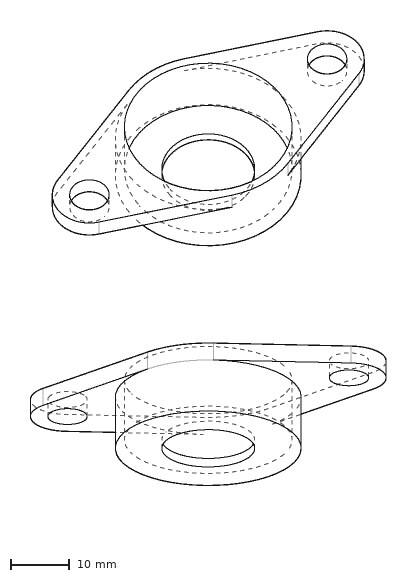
import cadquery as cq
import math

length = 63.5
height = 12.7
flange_thickness = 3.2

cup_radius = 15.9
bore_diameter = 28.65
floor_thickness = 1.6
floor_hole_diameter = 15.9

end_radius = 6.35
mount_hole_diameter = 6.7
mount_offset = length / 2 - end_radius

tangent_angle = math.asin((cup_radius - end_radius) / mount_offset)
cup_tangent_x = cup_radius * math.cos(tangent_angle)
cup_tangent_y = cup_radius * math.sin(tangent_angle)
end_tangent_x = end_radius * math.cos(tangent_angle)
end_tangent_y = mount_offset + end_radius * math.sin(tangent_angle)


def make_flange():
    """Diamond-shaped plate flush with the top of the cup."""
    return (
        cq.Workplane("XY")
        .workplane(offset=height - flange_thickness)
        .moveTo(cup_tangent_x, -cup_tangent_y)
        .threePointArc((cup_radius, 0), (cup_tangent_x, cup_tangent_y))
        .lineTo(end_tangent_x, end_tangent_y)
        .threePointArc((0, length / 2), (-end_tangent_x, end_tangent_y))
        .lineTo(-cup_tangent_x, cup_tangent_y)
        .threePointArc((-cup_radius, 0), (-cup_tangent_x, -cup_tangent_y))
        .lineTo(-end_tangent_x, -end_tangent_y)
        .threePointArc((0, -length / 2), (end_tangent_x, -end_tangent_y))
        .close()
        .extrude(flange_thickness)
    )


def make_cylinder(diameter, bottom, top, y=0):
    """Vertical cylinder centred at x = 0."""
    return (
        cq.Workplane("XY")
        .workplane(offset=bottom)
        .center(0, y)
        .circle(diameter / 2)
        .extrude(top - bottom)
    )


body = make_flange().union(make_cylinder(2 * cup_radius, 0, height))

body = body.cut(make_cylinder(bore_diameter, floor_thickness, height))
body = body.cut(make_cylinder(floor_hole_diameter, 0, height))

for side in (-1, 1):
    body = body.cut(make_cylinder(mount_hole_diameter, 0, height, side * mount_offset))

result = body